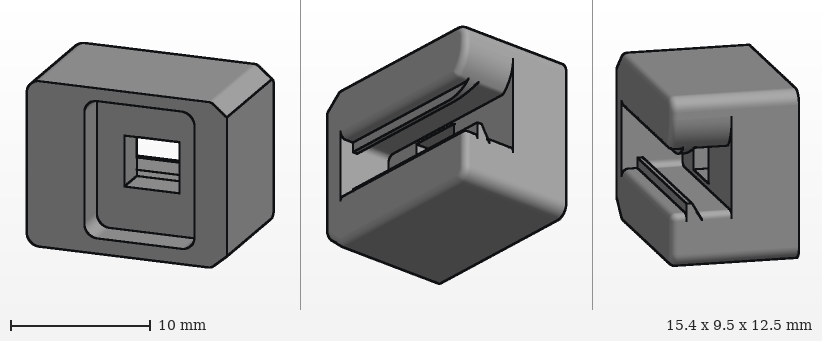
import cadquery as cq
import math

LENGTH = 15.36
DEPTH = 9.5
HEIGHT = 12.54
CORNER_RADIUS = 1.0
CHAMFER_HEIGHT = 1.0
CHAMFER_ANGLE = 40.0
CHAMFER_BLEND_RADIUS = 0.55
EDGE_RADIUS = 0.5

POCKET_CENTER_X = 8.66
POCKET_CENTER_Z = 6.37
POCKET_WIDTH = 8.45
POCKET_HEIGHT = 10.4
POCKET_DEPTH = 2.5
POCKET_RADIUS = 1.0
WINDOW_WIDTH = 4.22
WINDOW_HEIGHT = 3.86

SLOT_CENTER_Z = HEIGHT / 2
SLOT_HEIGHT = 4.54
SLOT_FRONT = 5.0
SLOT_END = LENGTH - 1.5

HOOK_GAP = 3.0
HOOK_BACK = 8.34
HOOK_TIP_LENGTH = 0.4
HOOK_SLOPE = 0.58
HOOK_ROOT = 0.75

NOSE_RADIUS = 3.2
NOSE_BOTTOM = SLOT_CENTER_Z + HOOK_GAP / 2
NOSE_TOP = NOSE_BOTTOM + NOSE_RADIUS

TOLERANCE = 1e-3


def box(x_min, x_max, y_min, y_max, z_min, z_max):
    """Axis-aligned box between the given limits."""
    return cq.Workplane("XY").box(
        x_max - x_min, y_max - y_min, z_max - z_min, centered=False
    ).translate((x_min, y_min, z_min))


def centered_box(width, height, center_x, center_z, y_min, y_max):
    """Box along Y, centred on a point in the XZ plane."""
    return box(
        center_x - width / 2, center_x + width / 2,
        y_min, y_max,
        center_z - height / 2, center_z + height / 2,
    )


def make_block():
    chamfer_start = LENGTH - CHAMFER_HEIGHT / math.tan(math.radians(CHAMFER_ANGLE))
    block = (
        cq.Workplane("XZ")
        .moveTo(0, 0)
        .lineTo(chamfer_start, 0)
        .lineTo(LENGTH, CHAMFER_HEIGHT)
        .lineTo(LENGTH, HEIGHT - CHAMFER_HEIGHT)
        .lineTo(chamfer_start, HEIGHT)
        .lineTo(0, HEIGHT)
        .close()
        .extrude(-DEPTH)
    )
    block = block.edges("|Y and <X").fillet(CORNER_RADIUS)
    blend_region = cq.selectors.BoxSelector(
        (chamfer_start - TOLERANCE, -TOLERANCE, -TOLERANCE),
        (chamfer_start + TOLERANCE, DEPTH + TOLERANCE, HEIGHT + TOLERANCE),
    )
    return block.edges("|Y").edges(blend_region).fillet(CHAMFER_BLEND_RADIUS)


def make_slot():
    """Slot volume; its closed end has rounded corners only in front of the hook backs."""
    slot_bottom = SLOT_CENTER_Z - SLOT_HEIGHT / 2
    slot_top = SLOT_CENTER_Z + SLOT_HEIGHT / 2
    front_part = box(0, SLOT_END, SLOT_FRONT, HOOK_BACK, slot_bottom, slot_top)
    front_part = front_part.edges("|Y and >X").fillet(EDGE_RADIUS)
    back_part = box(0, SLOT_END, HOOK_BACK, DEPTH, slot_bottom, slot_top)
    return front_part.union(back_part)


def make_nose_relief():
    """Volume between the left face and the rounded nose of the upper jaw."""
    diagonal = NOSE_RADIUS * math.sin(math.radians(45))
    return (
        cq.Workplane("XZ", origin=(0, SLOT_FRONT, 0))
        .moveTo(0, NOSE_TOP)
        .threePointArc((NOSE_RADIUS - diagonal, NOSE_TOP - diagonal), (NOSE_RADIUS, NOSE_BOTTOM))
        .lineTo(0, NOSE_BOTTOM)
        .close()
        .extrude(SLOT_FRONT - DEPTH)
    )


def round_jaws(body):
    """Round the left edges of the slot, then the back edges of the block and jaws."""
    jaw_edges = [
        edge for edge in body.edges("|Y").vals()
        if edge.Center().x < NOSE_RADIUS
        and abs(abs(edge.Center().z - SLOT_CENTER_Z) - SLOT_HEIGHT / 2) < TOLERANCE
    ]
    body = body.newObject(jaw_edges).fillet(EDGE_RADIUS)

    sharp_positions = (LENGTH, SLOT_END)
    back_edges = [
        edge for edge in body.faces(">Y").edges().vals()
        if all(abs(edge.Center().x - x) > TOLERANCE for x in sharp_positions)
    ]
    return body.newObject(back_edges).fillet(EDGE_RADIUS)


def make_hook(side):
    """Hook on the upper jaw (side = 1) or on the lower jaw (side = -1)."""
    tip_z = SLOT_CENTER_Z + side * HOOK_GAP / 2
    hook_height = (SLOT_HEIGHT - HOOK_GAP) / 2 + HOOK_ROOT
    root_z = tip_z + side * hook_height
    tip_front = HOOK_BACK - HOOK_TIP_LENGTH
    return (
        cq.Workplane("YZ")
        .moveTo(HOOK_BACK, root_z)
        .lineTo(HOOK_BACK, tip_z)
        .lineTo(tip_front, tip_z)
        .lineTo(tip_front - HOOK_SLOPE * hook_height, root_z)
        .close()
        .extrude(SLOT_END)
    )


nose_relief = make_nose_relief()

result = make_block().cut(make_slot()).cut(nose_relief)
result = round_jaws(result)
result = result.union(make_hook(-1)).union(make_hook(1).cut(nose_relief))

pocket = centered_box(
    POCKET_WIDTH, POCKET_HEIGHT, POCKET_CENTER_X, POCKET_CENTER_Z, 0, POCKET_DEPTH
).edges("|Y").fillet(POCKET_RADIUS)
window = centered_box(
    WINDOW_WIDTH, WINDOW_HEIGHT, POCKET_CENTER_X, POCKET_CENTER_Z, POCKET_DEPTH, SLOT_FRONT
)
result = result.cut(pocket).cut(window)